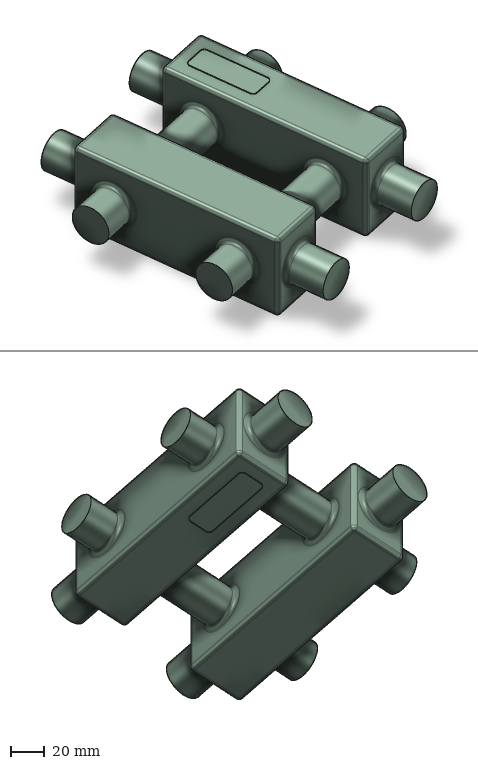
import cadquery as cq
import math

overall_length = 206.0
overall_width = 178.0

header_length = 150.0
header_width = 40.0
header_height = 60.0
header_spacing = 90.2
header_edge_radius = 2.9

pipe_diameter = 26.8
pipe_spacing = 90.2
weld_radius = 3.0

plate_length = 50.0
plate_width = 18.0
plate_thickness = 0.52
plate_corner_radius = 3.0
plate_end_margin = 10.0

header_offsets = (-header_spacing / 2, header_spacing / 2)
pipe_offsets = (-pipe_spacing / 2, pipe_spacing / 2)


def header(y):
    block = cq.Workplane("XY").box(header_length, header_width, header_height)
    return block.edges().fillet(header_edge_radius).translate((0, y, 0))


def lengthwise_pipe(y):
    """Pipe along X through a header."""
    pipe = cq.Workplane("YZ").circle(pipe_diameter / 2).extrude(overall_length)
    return pipe.translate((-overall_length / 2, y, 0))


def crosswise_pipe(x):
    """Pipe along Y through both headers."""
    pipe = cq.Workplane("XZ").circle(pipe_diameter / 2).extrude(overall_width)
    return pipe.translate((x, overall_width / 2, 0))


def weld_ring():
    """Concave ring around a pipe along +Z, standing on a header face at Z = 0."""
    pipe_radius = pipe_diameter / 2
    foot_radius = pipe_radius + weld_radius
    mid_offset = weld_radius * (1 - math.sqrt(0.5))
    return (
        cq.Workplane("XZ")
        .lineTo(foot_radius, 0)
        .threePointArc((pipe_radius + mid_offset, mid_offset), (pipe_radius, weld_radius))
        .lineTo(0, weld_radius)
        .close()
        .revolve(360, (0, 0, 0), (0, 1, 0))
    )


def name_plate(side):
    """Thin rounded plate; side is 1 for the top face and -1 for the bottom face."""
    x = -header_length / 2 + plate_end_margin + plate_length / 2
    y = header_spacing / 2
    z = side * (header_height + plate_thickness) / 2
    plate = cq.Workplane("XY").box(plate_length, plate_width, plate_thickness)
    return plate.edges("|Z").fillet(plate_corner_radius).translate((x, y, z))


def add_welds(body, header_y):
    """Weld rings on both ends and both sides of one header."""
    for side in (-1, 1):
        end_ring = weld_ring().rotate((0, 0, 0), (0, 1, 0), side * 90)
        body = body.union(end_ring.translate((side * header_length / 2, header_y, 0)))
        side_ring = weld_ring().rotate((0, 0, 0), (1, 0, 0), -side * 90)
        side_face_y = header_y + side * header_width / 2
        for pipe_x in pipe_offsets:
            body = body.union(side_ring.translate((pipe_x, side_face_y, 0)))
    return body


result = cq.Workplane("XY")
for pipe_x in pipe_offsets:
    result = result.union(crosswise_pipe(pipe_x))
for header_y in header_offsets:
    result = result.union(header(header_y)).union(lengthwise_pipe(header_y))
    result = add_welds(result, header_y)
for side in (-1, 1):
    result = result.union(name_plate(side))